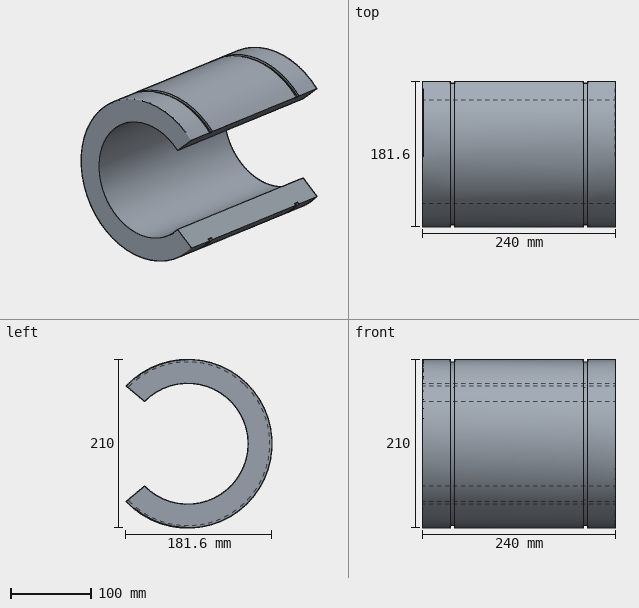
import cadquery as cq
import math

length = 240.0
outer_diameter = 210.0
bore_diameter = 150.0
edge_radius = 1.0

groove_span = 170.6
groove_width = 5.3
groove_diameter = 204.0

opening_angle = 80.0
opening_apex_y = -9.0


def cylinder(start_x, size_x, diameter):
    """Solid cylinder along X, centred on the sleeve axis."""
    return cq.Workplane("YZ").workplane(offset=start_x).circle(diameter / 2).extrude(size_x)


def groove(start_x):
    """Ring of material removed by one retaining-ring groove."""
    return cylinder(start_x, groove_width, outer_diameter).cut(
        cylinder(start_x, groove_width, groove_diameter)
    )


def opening_wedge():
    """Triangular prism that opens the sleeve towards +Y."""
    far_y = outer_diameter
    half_height = (far_y - opening_apex_y) * math.tan(math.radians(opening_angle / 2))
    return (
        cq.Workplane("YZ")
        .workplane(offset=-length / 2)
        .polyline([(opening_apex_y, 0), (far_y, half_height), (far_y, -half_height)])
        .close()
        .extrude(length)
    )


sleeve = cylinder(-length / 2, length, outer_diameter).faces("<X or >X").fillet(edge_radius)
sleeve = sleeve.cut(cylinder(-length / 2, length, bore_diameter))

for groove_start in (-groove_span / 2, groove_span / 2 - groove_width):
    sleeve = sleeve.cut(groove(groove_start))

result = sleeve.cut(opening_wedge())